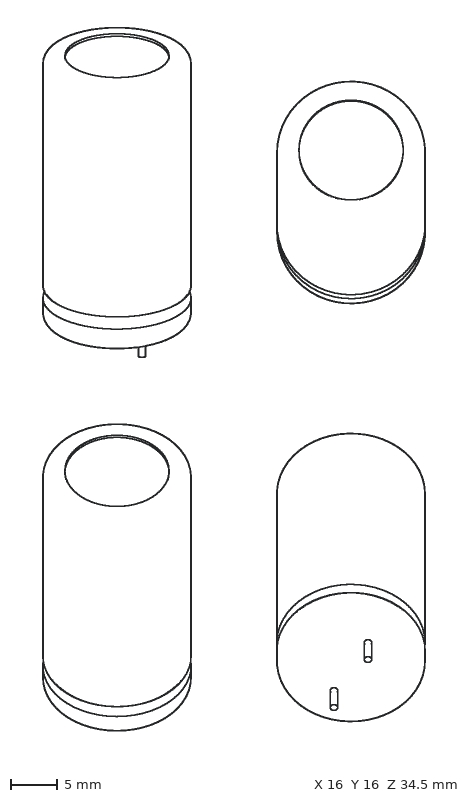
import cadquery as cq

total_height = 34.5
can_diameter = 16.0
can_radius = can_diameter / 2
pin_length = 3.0
can_height = total_height - pin_length
edge_radius = 1.0

groove_height = 3.4
groove_width = 1.45
groove_depth = 0.38
groove_half = groove_width / 2

recess_diameter = 11.25
recess_depth = 0.3

pin_diameter = 0.8
pin_pitch = 7.5
pin_overlap = 0.35


def make_can():
    """Solid can with rounded rims; its bottom face lies at z = 0."""
    return (
        cq.Workplane("XY")
        .circle(can_radius)
        .extrude(can_height)
        .edges("%CIRCLE")
        .fillet(edge_radius)
    )


def make_groove():
    """Ring with an bulging inner side that cuts the crimp groove."""
    outside = can_radius + groove_depth
    return (
        cq.Workplane("XZ")
        .moveTo(outside, groove_height - groove_half)
        .lineTo(can_radius, groove_height - groove_half)
        .threePointArc(
            (can_radius - groove_depth, groove_height),
            (can_radius, groove_height + groove_half),
        )
        .lineTo(outside, groove_height + groove_half)
        .close()
        .revolve(360, (0, 0, 0), (0, 1, 0))
    )


def make_recess():
    """Disc removed from the top face."""
    return (
        cq.Workplane("XY", origin=(0, 0, can_height - recess_depth))
        .circle(recess_diameter / 2)
        .extrude(recess_depth)
    )


def make_pins():
    """Pair of straight leads below the can, spaced along X."""
    return (
        cq.Workplane("XY", origin=(0, 0, -pin_length))
        .pushPoints([(-pin_pitch / 2, 0), (pin_pitch / 2, 0)])
        .circle(pin_diameter / 2)
        .extrude(pin_length + pin_overlap)
    )


result = make_can().cut(make_groove()).cut(make_recess()).union(make_pins())